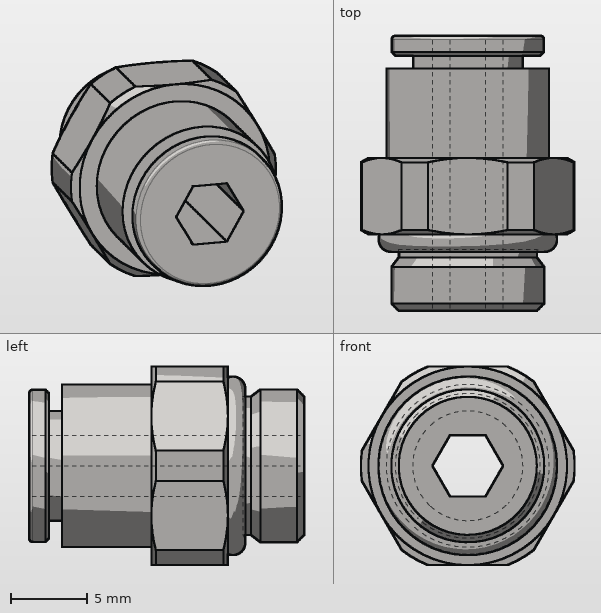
import cadquery as cq
import math

total_length = 18.0

thread_radius = 5.0
thread_chamfer = 0.49
thread_end = 2.88
groove_radius = 4.54
groove_start = 3.5

ring_radius = 5.85
ring_start = 3.85
bead_radius = 0.83

hex_start = 5.0
hex_end = 10.0
hex_across_flats = 13.0
hex_corner_radius = 7.0
hex_chamfer_angle = 30.0

socket_radius = 5.33
socket_end = 15.85
collar_neck_radius = 3.6
collar_radius = 4.99
collar_start = 16.69
collar_chamfer = 0.25
collar_fillet = 0.23

key_across_flats = 4.0


def hexagon(across_flats, start, end):
    """Hexagonal prism along Y with two flats facing up and down."""
    across_corners = across_flats / math.cos(math.radians(30))
    return (
        cq.Workplane("XZ", origin=(0, start, 0))
        .polygon(6, across_corners)
        .extrude(start - end)
    )


def turn(profile):
    """Revolve a closed (radius, y) profile about the Y axis."""
    return profile.close().revolve(360, (0, 0), (0, 1))


def cylinder(radius, start, end):
    return cq.Workplane("XZ", origin=(0, start, 0)).circle(radius).extrude(start - end)


def threaded_end():
    return turn(
        cq.Workplane("XY")
        .lineTo(thread_radius - thread_chamfer, 0)
        .lineTo(thread_radius, thread_chamfer)
        .lineTo(thread_radius, thread_end)
        .lineTo(groove_radius, groove_start)
        .lineTo(groove_radius, hex_start)
        .lineTo(0, hex_start)
    )


def sealing_ring():
    bead_center_radius = ring_radius - bead_radius
    bead_center_y = ring_start + bead_radius
    seat_offset = hex_start - bead_center_y
    seat_radius = bead_center_radius + math.sqrt(bead_radius**2 - seat_offset**2)
    groove_offset = bead_center_radius - groove_radius
    groove_contact_y = bead_center_y - math.sqrt(bead_radius**2 - groove_offset**2)
    return turn(
        cq.Workplane("XY")
        .moveTo(0, groove_contact_y)
        .lineTo(groove_radius, groove_contact_y)
        .threePointArc((ring_radius, bead_center_y), (seat_radius, hex_start))
        .lineTo(0, hex_start)
    )


def hexagonal_body():
    face_radius = hex_across_flats / 2
    chamfer_depth = (hex_corner_radius - face_radius) * math.tan(math.radians(hex_chamfer_angle))
    envelope = turn(
        cq.Workplane("XY")
        .moveTo(0, hex_start)
        .lineTo(face_radius, hex_start)
        .lineTo(hex_corner_radius, hex_start + chamfer_depth)
        .lineTo(hex_corner_radius, hex_end - chamfer_depth)
        .lineTo(face_radius, hex_end)
        .lineTo(0, hex_end)
    )
    return hexagon(hex_across_flats, hex_start, hex_end).intersect(envelope)


def release_collar():
    head = (
        cylinder(collar_radius, collar_start, total_length)
        .faces("<Y").edges().chamfer(collar_chamfer)
        .faces(">Y").edges().fillet(collar_fillet)
    )
    return cylinder(collar_neck_radius, socket_end, collar_start).union(head)


result = (
    hexagonal_body()
    .union(threaded_end())
    .union(sealing_ring())
    .union(cylinder(socket_radius, hex_end, socket_end))
    .union(release_collar())
    .cut(hexagon(key_across_flats, 0, total_length))
)